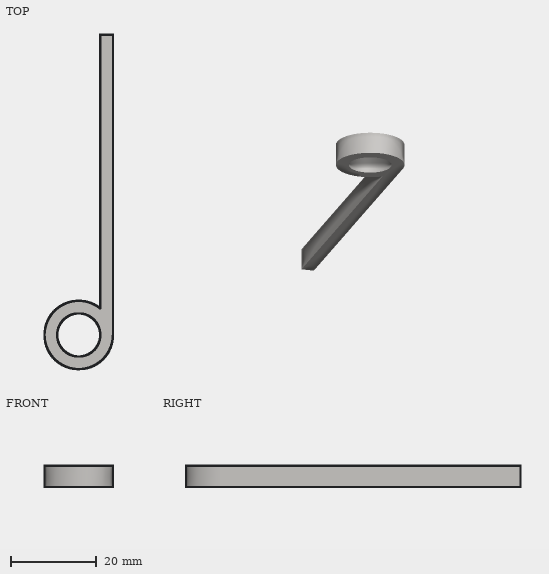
import cadquery as cq

thickness = 5.0
eye_hole_diameter = 10.0
wall = 3.0
arm_length = 70.0

eye_hole_radius = eye_hole_diameter / 2
eye_outer_radius = eye_hole_radius + wall


def make_eye():
    """Solid disc of the eye, centred on the origin."""
    return cq.Workplane("XY").circle(eye_outer_radius).extrude(thickness)


def make_arm():
    """Straight arm along +Y, its outer face tangent to the eye."""
    return (
        cq.Workplane("XY")
        .moveTo(eye_hole_radius, 0)
        .rect(wall, arm_length, centered=False)
        .extrude(thickness)
    )


def make_eye_hole():
    """Through hole of the eye; it touches the line of the arm's inner face."""
    return cq.Workplane("XY").circle(eye_hole_radius).extrude(thickness)


result = make_eye().union(make_arm()).cut(make_eye_hole())